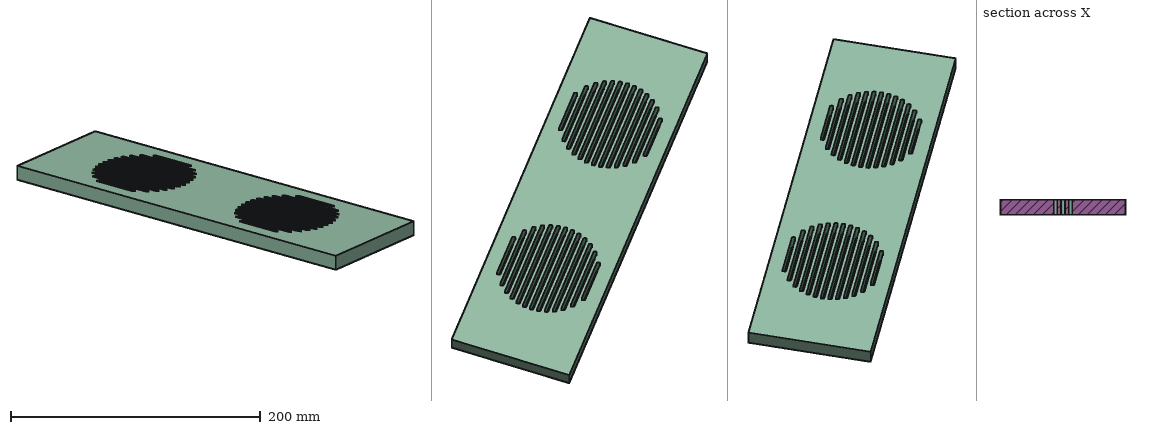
import cadquery as cq
import math

PLATE_LENGTH = 326.0
PLATE_WIDTH = 100.0
PLATE_THICKNESS = 12.0

GRILLE_SPACING = 146.0
END_CIRCLE_RADIUS = 40.0
SLOT_WIDTH = 3.0
SLOT_COUNT = 13
SLOT_STACK_HEIGHT = 72.0
SLOT_PITCH = SLOT_STACK_HEIGHT / (SLOT_COUNT - 1)


def make_slot(centre_x, offset_y):
    """Through-cutter for one slot, offset_y away from the grille centre."""
    straight_length = 2 * math.sqrt(END_CIRCLE_RADIUS**2 - offset_y**2)
    return (
        cq.Workplane("XY")
        .center(centre_x, offset_y)
        .slot2D(straight_length + SLOT_WIDTH, SLOT_WIDTH)
        .extrude(PLATE_THICKNESS / 2, both=True)
    )


def cut_grille(plate, centre_x):
    """Cut one grille, its slots symmetric about the plate's long centreline."""
    for index in range(SLOT_COUNT):
        offset_y = index * SLOT_PITCH - SLOT_STACK_HEIGHT / 2
        plate = plate.cut(make_slot(centre_x, offset_y))
    return plate


result = cq.Workplane("XY").box(PLATE_LENGTH, PLATE_WIDTH, PLATE_THICKNESS)
for side in (-1, 1):
    result = cut_grille(result, side * GRILLE_SPACING / 2)